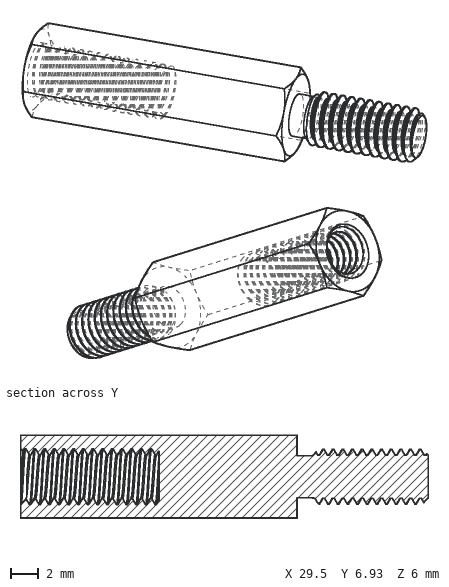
import cadquery as cq
import math


across_flats = 6.0
body_length = 20.0
corner_chamfer_angle = 30.0

major_radius = 2.0
pitch = 0.7
flank_angle = 30.0
crest_width = pitch / 8
thread_depth = 0.6134 * pitch
minor_radius = major_radius - thread_depth
radial_clearance = 0.05

stud_length = 9.5
relief_length = 1.15
relief_radius = 1.55
stud_groove_phase = 0.52

socket_depth = 10.0
socket_groove_phase = 0.33

corner_radius = across_flats / 2 / math.cos(math.pi / 6)
overall_length = body_length + stud_length
thread_start = body_length + relief_length
flank_slope = math.tan(math.radians(flank_angle))
thread_overrun = 2 * pitch


def revolve_about_x(points):
    """Solid of revolution about X from (x, radius) points."""
    return cq.Workplane("XY").polyline(points).close().revolve(360, (0, 0, 0), (1, 0, 0))


def helical_groove(length):
    """Right-hand V-groove cutter about Z, starting at Z = 0 on the +X side."""
    root_half = (pitch - crest_width) / 2 - thread_depth * flank_slope
    outer_radius = major_radius + radial_clearance
    outer_half = root_half + (outer_radius - minor_radius) * flank_slope
    profile = [
        (minor_radius, -root_half),
        (outer_radius, -outer_half),
        (outer_radius, outer_half),
        (minor_radius, root_half),
    ]
    helices = [
        cq.Wire.makeHelix(pitch, length, radius).translate(cq.Vector(0, 0, offset))
        for radius, offset in profile
    ]
    faces = []
    for helix, next_helix in zip(helices, helices[1:] + helices[:1]):
        faces.extend(cq.Face.makeRuledSurface(helix, next_helix).Faces())
    for end in (0, 1):
        corners = [helix.positionAt(end) for helix in helices]
        faces.append(cq.Face.makeFromWires(cq.Wire.makePolygon(corners, close=True)))
    return cq.Workplane(cq.Solid.makeSolid(cq.Shell.makeShell(faces)))


def threaded_rod(first_groove_x, length):
    """Rod along X with a groove centred on its -Z side at first_groove_x and every pitch after.

    The rod runs on past both ends of the groove; callers trim it to the threaded stretch.
    """
    rod = cq.Workplane("XY").workplane(offset=-pitch).circle(major_radius).extrude(length + 2 * pitch)
    threaded = rod.cut(helical_groove(length))
    return threaded.rotate((0, 0, 0), (0, 1, 0), 90).translate((first_groove_x, 0, 0))


def make_body():
    """Hexagonal prism with its corners turned off at both ends."""
    prism = cq.Workplane("YZ").polygon(6, 2 * corner_radius).extrude(body_length)
    face_radius = across_flats / 2
    turned_radius = corner_radius + face_radius
    chamfer_length = (turned_radius - face_radius) * math.tan(math.radians(corner_chamfer_angle))
    envelope = revolve_about_x([
        (0, 0),
        (0, face_radius),
        (chamfer_length, turned_radius),
        (body_length - chamfer_length, turned_radius),
        (body_length, face_radius),
        (body_length, 0),
    ])
    return prism.intersect(envelope)


def make_stud():
    """Threaded stud, chamfered at both ends, on a plain relief neck."""
    chamfer = major_radius - relief_radius
    envelope = revolve_about_x([
        (thread_start, 0),
        (thread_start, relief_radius),
        (thread_start + chamfer, major_radius),
        (overall_length - chamfer, major_radius),
        (overall_length, relief_radius),
        (overall_length, 0),
    ])
    thread = threaded_rod(body_length + stud_groove_phase, stud_length + thread_overrun).intersect(envelope)
    neck = cq.Workplane("YZ").workplane(offset=body_length).circle(relief_radius).extrude(relief_length)
    return thread.union(neck)


def cut_socket(body):
    """Blind threaded hole with a countersunk mouth."""
    countersink = revolve_about_x([
        (0, 0),
        (0, major_radius),
        (major_radius, 0),
    ])
    envelope = cq.Workplane("YZ").circle(major_radius + radial_clearance).extrude(socket_depth)
    first_groove_x = socket_groove_phase - thread_overrun
    tap = threaded_rod(first_groove_x, socket_depth + 2 * thread_overrun).intersect(envelope)
    return body.cut(tap).cut(countersink)


result = cut_socket(make_body()).union(make_stud())